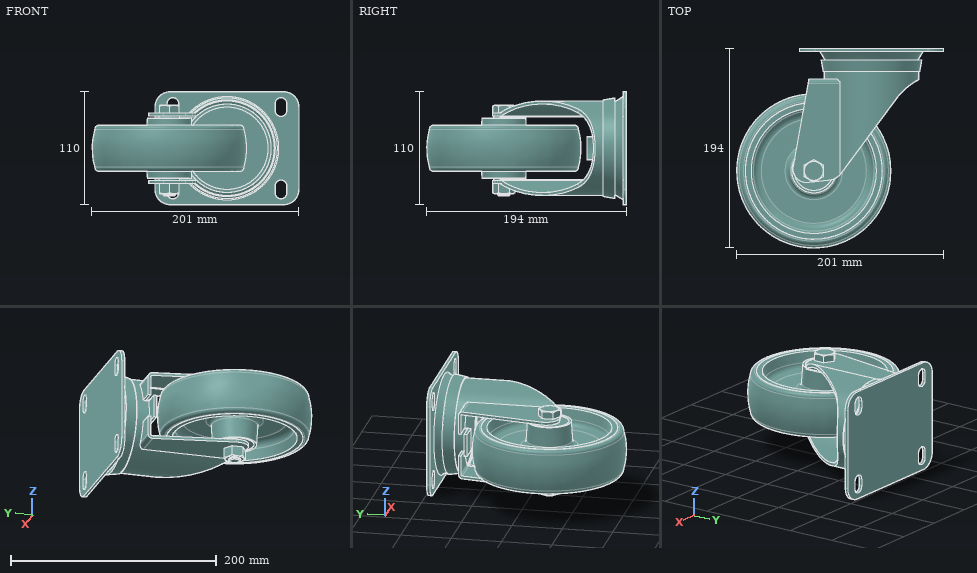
import cadquery as cq
import math


wheel_radius = 75.0
tyre_half_width = 22.5
tyre_shoulder_z = 18.4
tyre_shoulder_radius = 72.5
tyre_edge_fillet = 4.2
core_radius = 133.0 / 2
core_edge_chamfer = (133.0 - 132.8) / 2
lip_inner_radius = 60.8
lip_root_radius = 58.6
web_outer_radius = 51.0
web_half_thickness = 4.5
hub_end_radius = 21.4
hub_foot_radius = 22.7
hub_half_length = 29.3
hub_fillet = 5.2
hub_recess_radius = 38.0 / 2
hub_recess_depth = 0.5

sleeve_radius = 20.0 / 2
bolt_radius = 12.0 / 2
bolt_end_radius = 10.11 / 2
bolt_end_z = -46.2
hex_across_flats = 19.0
head_height = 7.5
nut_height = 10.0
hex_chamfer_angle = 30.0
hex_face_ratio = 0.97

plate_top_y = 119.0
swivel_x = 56.0
plate_length = 140.0
plate_width = 110.0
plate_thickness = 3.2
plate_corner_radius = 15.0
slot_pitch_x = 105.0
slot_pitch_z = 80.0
slot_width = 11.0
slot_length = 18.0
flare_top_radius = 100.58 / 2
flare_mid_radius = 47.0
flare_mid_depth = 8.4
flare_bottom_radius = 45.5

cap_top_depth = 11.1
cap_bottom_depth = 22.6
cap_top_radius = 49.0
cap_bottom_radius = 47.0
cup_outer_radius = 92.0 / 2
cup_inner_radius = 86.0 / 2
cup_recess_radius = 80.0 / 2
cup_recess_height = 1.0
cup_floor_depth = 27.0
cup_rim_depth = 30.4
rim_curve_mid = (36.0, 36.8)
rim_curve_end = (26.0, 46.6)
fork_inner_z = 31.3
sheet = 3.0
bend_radius = 4.4
strip_depth = 29.6
strip_thickness = 2.6
tongue_half_width = 11.25
tongue_top_depth = 35.4
side_left_x = -4.8
side_corner_fillet = 13.0

fork_outer_z = fork_inner_z + sheet
strip_top_y = plate_top_y - strip_depth
strip_bottom_y = strip_top_y - strip_thickness
tongue_top_y = plate_top_y - tongue_top_depth
tongue_bottom_y = tongue_top_y - sheet
crease_x = swivel_x - math.sqrt(cup_outer_radius**2 - fork_outer_z**2)
side_foot = (crease_x, -4.0)
side_left_foot = (-23.0, -13.0)
side_right_foot = (19.5, -8.5)

arc_drop = 1 - math.sqrt(0.5)


def make_tyre():
    """Crowned tread ring with rounded edges."""
    edge_radius = tyre_shoulder_radius - tyre_edge_fillet
    bulge = tyre_edge_fillet * math.sqrt(0.5)
    outline = (
        cq.Workplane("XZ")
        .moveTo(core_radius, -tyre_half_width)
        .lineTo(edge_radius, -tyre_half_width)
        .threePointArc((edge_radius + bulge, -tyre_shoulder_z - bulge), (tyre_shoulder_radius, -tyre_shoulder_z))
        .threePointArc((wheel_radius, 0), (tyre_shoulder_radius, tyre_shoulder_z))
        .threePointArc((edge_radius + bulge, tyre_shoulder_z + bulge), (edge_radius, tyre_half_width))
        .lineTo(core_radius, tyre_half_width)
        .close()
    )
    return outline.revolve(360, (0, 0, 0), (0, 1, 0))


def make_core():
    """Wheel centre: hub, thin web and rim, symmetric about the middle of the wheel."""
    rim_fillet = lip_root_radius - web_outer_radius
    rim_fillet_top = web_half_thickness + rim_fillet
    fillet_end = hub_foot_radius + hub_fillet
    upper_half = (
        cq.Workplane("XZ")
        .moveTo(sleeve_radius, 0)
        .lineTo(sleeve_radius, hub_half_length - hub_recess_depth)
        .lineTo(hub_recess_radius, hub_half_length - hub_recess_depth)
        .lineTo(hub_recess_radius, hub_half_length)
        .lineTo(hub_end_radius, hub_half_length)
        .lineTo(hub_foot_radius, web_half_thickness + hub_fillet)
        .threePointArc(
            (hub_foot_radius + hub_fillet * arc_drop, web_half_thickness + hub_fillet * arc_drop),
            (fillet_end, web_half_thickness),
        )
        .lineTo(web_outer_radius, web_half_thickness)
        .threePointArc(
            (lip_root_radius - rim_fillet * arc_drop, web_half_thickness + rim_fillet * arc_drop),
            (lip_root_radius, rim_fillet_top),
        )
        .lineTo(lip_inner_radius, tyre_half_width)
        .lineTo(core_radius - core_edge_chamfer, tyre_half_width)
        .lineTo(core_radius, tyre_half_width - core_edge_chamfer)
        .lineTo(core_radius, 0)
        .close()
        .revolve(360, (0, 0, 0), (0, 1, 0))
    )
    return upper_half.union(upper_half.mirror("XY"))


def make_hex(base_z, height, chamfer_up):
    """Hexagon with its corners towards +Y and -Y and a conical chamfer on one end."""
    across_corners = hex_across_flats / math.cos(math.radians(30))
    prism = (
        cq.Workplane("XY", origin=(0, 0, base_z))
        .transformed(rotate=(0, 0, 90))
        .polygon(6, across_corners)
        .extrude(height)
    )
    face_radius = hex_across_flats / 2 * hex_face_ratio
    slope = math.tan(math.radians(hex_chamfer_angle))
    cone_radius = face_radius + height / slope
    envelope = (
        cq.Workplane("XZ")
        .moveTo(0, 0)
        .lineTo(cone_radius, 0)
        .lineTo(face_radius, height)
        .lineTo(0, height)
        .close()
        .revolve(360, (0, 0, 0), (0, 1, 0))
    )
    if not chamfer_up:
        envelope = envelope.mirror("XY").translate((0, 0, height))
    return prism.intersect(envelope.translate((0, 0, base_z)))


def make_axle():
    """Bolt with its head, nut and the sleeve that spaces the fork sides."""
    sleeve = cq.Workplane("XY", origin=(0, 0, -fork_inner_z)).circle(sleeve_radius).extrude(2 * fork_inner_z)
    shank = (
        cq.Workplane("XY", origin=(0, 0, bolt_end_z))
        .circle(bolt_radius)
        .extrude(fork_outer_z - bolt_end_z)
        .faces("<Z")
        .chamfer(bolt_radius - bolt_end_radius)
    )
    head = make_hex(fork_outer_z, head_height, True)
    nut = make_hex(-fork_outer_z - nut_height, nut_height, False)
    return sleeve.union(shank).union(head).union(nut)


def swivel_revolve(outline):
    """Close a radius-and-depth outline and turn it about the swivel axis."""
    return outline.close().revolve(360, (0, 0, 0), (0, 1, 0)).translate((swivel_x, plate_top_y, 0))


def make_plate():
    """Slotted mounting plate with the flared seat of the swivel."""
    plate = (
        cq.Workplane("XZ", origin=(swivel_x, plate_top_y, 0))
        .rect(plate_length, plate_width)
        .extrude(plate_thickness)
        .edges("|Y")
        .fillet(plate_corner_radius)
    )
    slots = (
        cq.Workplane("XZ", origin=(swivel_x, plate_top_y, 0))
        .rect(slot_pitch_x, slot_pitch_z, forConstruction=True)
        .vertices()
        .slot2D(slot_length, slot_width, 90)
        .extrude(plate_thickness)
    )
    flare = swivel_revolve(
        cq.Workplane("XY")
        .moveTo(0, -plate_thickness)
        .lineTo(flare_top_radius, -plate_thickness)
        .threePointArc((flare_mid_radius, -flare_mid_depth), (flare_bottom_radius, -cap_top_depth))
        .lineTo(0, -cap_top_depth)
    )
    return plate.cut(slots).union(flare)


def make_cup():
    """Cap, cup floor and cup wall, with the wall trimmed by the sloping front profile."""
    wall_end = plate_top_y - side_foot[1]
    cup = swivel_revolve(
        cq.Workplane("XY")
        .moveTo(0, -cap_top_depth)
        .lineTo(cap_top_radius, -cap_top_depth)
        .lineTo(cap_bottom_radius, -cap_bottom_depth)
        .lineTo(cup_outer_radius, -cap_bottom_depth)
        .lineTo(cup_outer_radius, -wall_end)
        .lineTo(cup_inner_radius, -wall_end)
        .lineTo(cup_inner_radius, -cup_floor_depth)
        .lineTo(cup_recess_radius, -cup_floor_depth)
        .lineTo(cup_recess_radius, -cup_floor_depth + cup_recess_height)
        .lineTo(0, -cup_floor_depth + cup_recess_height)
    )
    left_x = swivel_x - cap_top_radius
    right_x = swivel_x + cap_top_radius
    rim_x = swivel_x + cup_outer_radius
    rim_y = plate_top_y - cup_rim_depth
    keep = (
        cq.Workplane("XY")
        .moveTo(left_x, plate_top_y)
        .lineTo(right_x, plate_top_y)
        .lineTo(right_x, rim_y)
        .lineTo(rim_x, rim_y)
        .threePointArc(
            (swivel_x + rim_curve_mid[0], plate_top_y - rim_curve_mid[1]),
            (swivel_x + rim_curve_end[0], plate_top_y - rim_curve_end[1]),
        )
        .lineTo(*side_foot)
        .lineTo(crease_x, strip_bottom_y)
        .lineTo(left_x, strip_bottom_y)
        .close()
        .extrude(cap_top_radius, both=True)
    )
    return cup.intersect(keep)


def make_cup_bore():
    """Cylinder that fills the inside of the cup wall along the swivel axis."""
    return (
        cq.Workplane("XZ", origin=(swivel_x, plate_top_y, 0))
        .circle(cup_inner_radius)
        .extrude(2 * plate_top_y)
    )


def make_sides():
    """Bent sheet: two side plates joined to a strip that meets the cup wall."""
    outline = (
        cq.Workplane("XY")
        .moveTo(side_left_x, strip_top_y)
        .lineTo(*side_left_foot)
        .lineTo(*side_right_foot)
        .lineTo(*side_foot)
        .lineTo(crease_x, strip_bottom_y)
        .lineTo(swivel_x, strip_bottom_y)
        .lineTo(swivel_x, strip_top_y)
        .close()
        .extrude(fork_outer_z, both=True)
    )
    for corner in [side_left_foot, side_right_foot]:
        outline = outline.edges(cq.NearestToPointSelector((*corner, 0))).fillet(side_corner_fillet)
    outline = outline.faces(">Y").edges("|X").fillet(bend_radius)
    inner_bottom = -cup_outer_radius
    space = (
        cq.Workplane("XY")
        .rect(4 * cup_outer_radius, strip_bottom_y - inner_bottom)
        .extrude(fork_inner_z, both=True)
        .translate((0, (strip_bottom_y + inner_bottom) / 2, 0))
        .faces(">Y")
        .edges("|X")
        .fillet(bend_radius - sheet)
    )
    notch = cq.Workplane("XY").box(4 * cup_outer_radius, 4 * strip_depth, 2 * tongue_half_width)
    notch = notch.translate((0, strip_top_y, 0))
    return outline.cut(space).cut(notch).cut(make_cup_bore())


def make_tongue():
    """Tongue between the two halves of the strip, hung from a short piece of the cup wall."""
    length = crease_x - side_left_x
    width = 2 * tongue_half_width
    corner_centered = (False, False, True)
    wall = (
        cq.Workplane("XZ", origin=(swivel_x, strip_top_y, 0))
        .circle(cup_outer_radius)
        .circle(cup_inner_radius)
        .extrude(strip_top_y - tongue_bottom_y)
    )
    limit = cq.Workplane("XY").box(length, plate_top_y, width, centered=corner_centered)
    limit = limit.translate((side_left_x, 0, 0))
    tongue = cq.Workplane("XY").box(length, sheet, width, centered=corner_centered)
    tongue = tongue.translate((side_left_x, tongue_bottom_y, 0))
    return wall.intersect(limit).union(tongue.cut(make_cup_bore()))


def make_fork():
    """Cup, side plates and tongue as one body, drilled for the axle bolt."""
    axle_hole = cq.Workplane("XY").circle(bolt_radius).extrude(2 * fork_outer_z, both=True)
    return make_cup().union(make_sides()).union(make_tongue()).cut(axle_hole)


plate = make_plate()
fork = make_fork()
tyre = make_tyre()
core = make_core()
axle = make_axle()

result = cq.Compound.makeCompound([plate.val(), fork.val(), tyre.val(), core.val(), axle.val()])